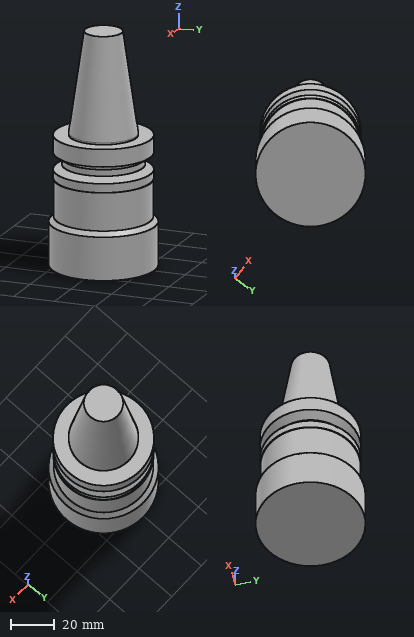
import cadquery as cq

total_height = 111.4
nose_top = 20.8
body_bottom = 23.1
flange_bottom = 41.3
groove_lower_edge = 45.7
groove_floor_bottom = 48.0
groove_floor_top = 51.1
groove_upper_edge = 53.7
flange_top = 62.0
taper_start = 63.0

nose_radius = 50.0 / 2
body_radius = 45.5 / 2
flange_radius = 46.0 / 2
groove_radius = 38.0 / 2
taper_large_radius = 31.7 / 2
taper_small_radius = 17.8 / 2

half_profile = [
    (0, 0),
    (nose_radius, 0),
    (nose_radius, nose_top),
    (body_radius, body_bottom),
    (body_radius, flange_bottom),
    (flange_radius, flange_bottom),
    (flange_radius, groove_lower_edge),
    (groove_radius, groove_floor_bottom),
    (groove_radius, groove_floor_top),
    (flange_radius, groove_upper_edge),
    (flange_radius, flange_top),
    (taper_large_radius, flange_top),
    (taper_large_radius, taper_start),
    (taper_small_radius, total_height),
    (0, total_height),
]

result = cq.Workplane("XZ").polyline(half_profile).close().revolve(360, (0, 0), (0, 1))